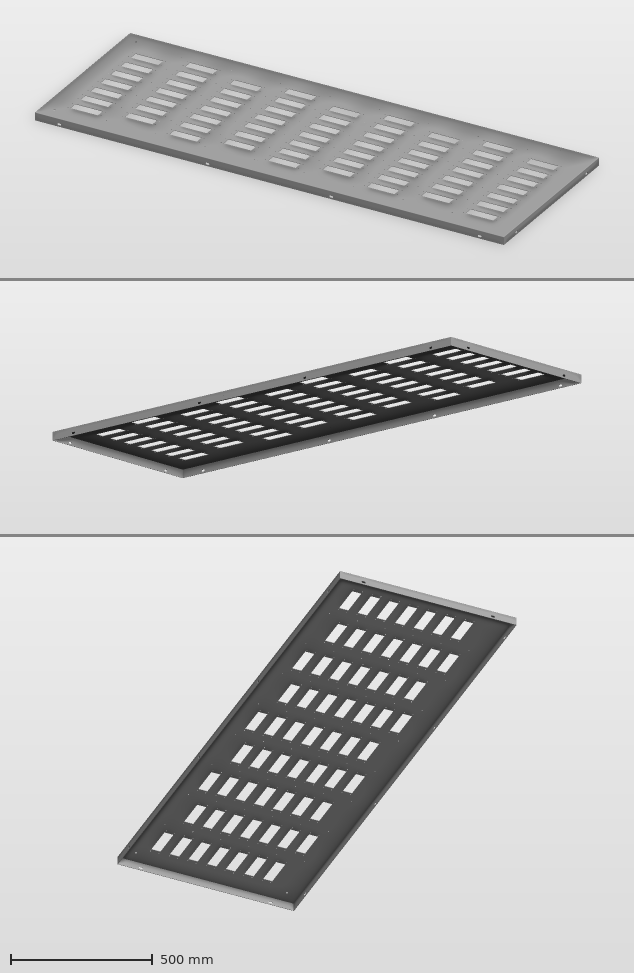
import cadquery as cq

length = 1897.0
width = 683.0
height = 32.0
sheet = 2.0
bend_radius = 2.0

column_count = 9
windows_per_column = 7
column_span = 1600.0
window_span = 433.0
column_pitch = column_span / (column_count - 1)
window_pitch = window_span / (windows_per_column - 1)
window_length = 112.0
window_width = 36.0
stagger = window_pitch / 4

screw_diameter = 4.0
screw_offset_x = 66.0
screw_offset_y = 16.1

grid_rows = 6
grid_pitch = 1.5 * window_pitch

mount_diameter = 8.0
mount_inset_x = 51.0
mount_inset_y = 50.0

flange_slot_length = 15.0
flange_slot_height = 8.0
flange_slot_z = 10.0
long_flange_slot_inner = 250.0
long_flange_slot_outer = 850.0
end_flange_slot = 250.0


def centred_row(count, pitch):
    """Evenly spaced positions, symmetric about zero."""
    return [(i - (count - 1) / 2) * pitch for i in range(count)]


def make_tray():
    """Open-bottomed tray with a small outer rounding where the flanges turn down."""
    outer = cq.Workplane("XY").box(length, width, height, centered=(True, True, False))
    outer = outer.faces(">Z").edges().fillet(bend_radius)
    cavity = cq.Workplane("XY").box(
        length - 2 * sheet, width - 2 * sheet, height - sheet, centered=(True, True, False)
    )
    return outer.cut(cavity)


def window_centres():
    """Even-numbered columns sit below the centre line, odd-numbered ones above it."""
    centres = []
    for column, x in enumerate(centred_row(column_count, column_pitch)):
        shift = -stagger if column % 2 == 0 else stagger
        centres += [(x, y + shift) for y in centred_row(windows_per_column, window_pitch)]
    return centres


def round_holes(points, diameter):
    """Vertical cylinders used to cut holes at the given points."""
    return cq.Workplane("XY").pushPoints(points).circle(diameter / 2).extrude(height)


def panel_cutters():
    """Windows, small round holes and mounting holes through the top panel."""
    centres = window_centres()
    windows = cq.Workplane("XY").pushPoints(centres).rect(window_length, window_width).extrude(height)
    screws = [
        (x + sx * screw_offset_x, y + sy * screw_offset_y)
        for x, y in centres
        for sx in (-1, 1)
        for sy in (-1, 1)
    ]
    grid = [
        (x, y)
        for x in centred_row(column_count - 1, column_pitch)
        for y in centred_row(grid_rows, grid_pitch)
    ]
    mount_x = -length / 2 + mount_inset_x
    mount_y = width / 2 - mount_inset_y
    mounts = [(mount_x, -mount_y), (mount_x, mount_y)]
    return [windows, round_holes(screws + grid, screw_diameter), round_holes(mounts, mount_diameter)]


def flange_slots(plane, positions, reach):
    """Oblong cutters that pass through both opposite flanges."""
    return (
        cq.Workplane(plane)
        .pushPoints([(p, flange_slot_z) for p in positions])
        .slot2D(flange_slot_length, flange_slot_height)
        .extrude(reach, both=True)
    )


result = make_tray()
for cutter in panel_cutters():
    result = result.cut(cutter)

long_side_positions = [
    side * distance for side in (-1, 1) for distance in (long_flange_slot_inner, long_flange_slot_outer)
]
result = result.cut(flange_slots("XZ", long_side_positions, width))
result = result.cut(flange_slots("YZ", [-end_flange_slot, end_flange_slot], length))